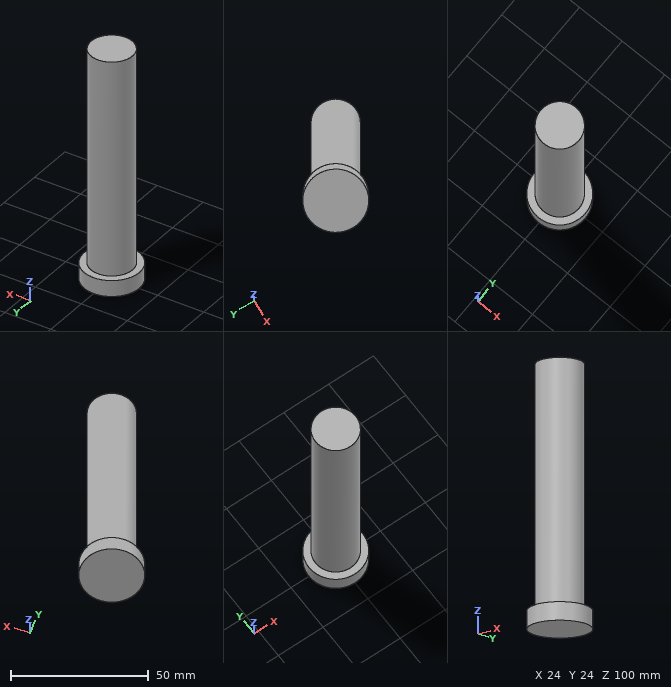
import cadquery as cq

total_length = 100.0
head_diameter = 24.0
head_height = 7.0
shank_diameter = 18.0

head = cq.Workplane("XY").circle(head_diameter / 2).extrude(head_height)

shank_length = total_length - head_height
result = head.faces(">Z").workplane().circle(shank_diameter / 2).extrude(shank_length)